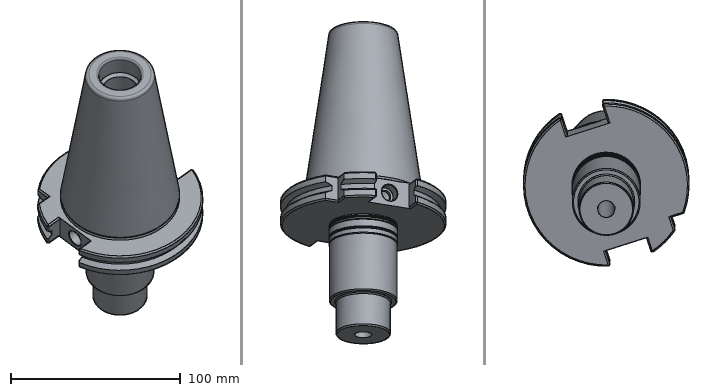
import cadquery as cq
import math


total_length = 189.6
taper_length = 101.8
bottom_z = taper_length - total_length

gauge_radius = 70.0 / 2
taper_slope = 7 / 48
taper_skirt = 0.8
taper_top_round = 2.0
skirt_groove_depth = 0.5

flange_radius = 48.7
flange_top_z = -3.2
flange_thickness = 16.0
flange_chamfer = 1.0
flange_bottom_z = flange_top_z - flange_thickness
flange_mid_z = flange_top_z - flange_thickness / 2

groove_floor_radius = 45.5
groove_floor_width = 3.0
groove_side_angle = 30.0

slot_width = 25.5
front_slot_distance = 37.2
rear_slot_distance = 35.0
notch_distance = 30.1

slot_hole_radius = 7.0 / 2
slot_hole_depth = 8.0
slot_counterbore_radius = 10.0 / 2
slot_counterbore_depth = 6.0
slot_counterbore_chamfer = 0.28

body_radius = 40.0 / 2
ring_radius = 40.5 / 2
ring_bevel_height = 0.5
ring_spans = ((-20.0, -21.2), (-22.2, -27.5), (-27.7, -31.5))
body_bottom_z = -67.1
body_chamfer = 0.8

nose_radius = 32.0 / 2
nose_root_chamfer = 0.8
nose_tip_width = 0.5
nose_tip_height = 1.0

bore_mouth_round = 1.1
bore_radius = 25.0 / 2
bore_depth = 12.0
thread_radius = 20.7 / 2
thread_depth = 47.0
through_radius = 10.0 / 2
drill_half_angle = 59.0


def cone_height(radius):
    """Height of a drill point of the given base radius."""
    return radius / math.tan(math.radians(drill_half_angle))


def revolve_profile(points):
    """Turn an (r, z) outline around the Z axis."""
    return cq.Workplane("XZ").polyline(points).close().revolve(360, (0, 0), (0, 1))


def make_taper():
    top_radius = gauge_radius - taper_slope * taper_length
    skirt_radius = gauge_radius + taper_slope * taper_skirt
    neck_z = (flange_top_z - taper_skirt) / 2
    taper = revolve_profile([
        (0, taper_length),
        (top_radius, taper_length),
        (skirt_radius, -taper_skirt),
        (skirt_radius - skirt_groove_depth, neck_z),
        (skirt_radius, flange_top_z),
        (0, flange_top_z),
    ])
    return taper.faces(">Z").edges().fillet(taper_top_round)


def make_flange():
    flange_base = cq.Workplane("XY").workplane(offset=flange_bottom_z)
    flange = flange_base.circle(flange_radius).extrude(flange_thickness)

    def cutter(x_min, x_max, y_min, y_max):
        """Box through the full flange thickness."""
        return (
            cq.Workplane("XY")
            .box(x_max - x_min, y_max - y_min, flange_thickness, centered=False)
            .translate((x_min, y_min, flange_bottom_z))
        )

    half_slot = slot_width / 2
    flange = flange.cut(cutter(-half_slot, half_slot, -flange_radius, -front_slot_distance))
    flange = flange.cut(cutter(-half_slot, half_slot, rear_slot_distance, flange_radius))
    flange = flange.cut(cutter(-flange_radius, -notch_distance, -flange_radius, -notch_distance))

    def is_chamfered(edge):
        """Rims, side walls and slot corners are chamfered; slot floors and notch corners are not."""
        middle = edge.Center()
        is_upright = abs(middle.z - flange_mid_z) < flange_chamfer
        if is_upright:
            at_rim = math.hypot(middle.x, middle.y) > groove_floor_radius
            beside_slot = abs(middle.x) < slot_width
            return at_rim and beside_slot
        on_slot_floor = abs(middle.x) < half_slot / 2
        return not on_slot_floor

    flange = flange.edges().filter(is_chamfered).chamfer(flange_chamfer)
    return flange.cut(make_v_groove())


def make_v_groove():
    clear_radius = flange_radius + 1.9
    half_floor = groove_floor_width / 2
    side_rise = (clear_radius - groove_floor_radius) * math.tan(math.radians(groove_side_angle))
    half_mouth = half_floor + side_rise
    return revolve_profile([
        (groove_floor_radius, flange_mid_z - half_floor),
        (clear_radius, flange_mid_z - half_mouth),
        (clear_radius, flange_mid_z + half_mouth),
        (groove_floor_radius, flange_mid_z + half_floor),
    ])


def make_body():
    ring_points = []
    for ring_top, ring_bottom in ring_spans:
        ring_points += [
            (body_radius, ring_top),
            (ring_radius, ring_top - ring_bevel_height),
            (ring_radius, ring_bottom + ring_bevel_height),
            (body_radius, ring_bottom),
        ]
    return revolve_profile([
        (0, flange_bottom_z),
        (body_radius, flange_bottom_z),
        *ring_points,
        (body_radius, body_bottom_z + body_chamfer),
        (body_radius - body_chamfer, body_bottom_z),
        (nose_radius + nose_root_chamfer, body_bottom_z),
        (nose_radius, body_bottom_z - nose_root_chamfer),
        (nose_radius, bottom_z + nose_tip_height),
        (nose_radius - nose_tip_width, bottom_z),
        (0, bottom_z),
    ])


def make_axial_bore():
    ledge_depth = bore_depth + cone_height(bore_radius) - cone_height(thread_radius)
    point_depth = thread_depth + cone_height(thread_radius) - cone_height(through_radius)
    return revolve_profile([
        (0, taper_length),
        (bore_radius, taper_length),
        (bore_radius, taper_length - bore_depth),
        (thread_radius, taper_length - ledge_depth),
        (thread_radius, taper_length - thread_depth),
        (through_radius, taper_length - point_depth),
        (through_radius, bottom_z),
        (0, bottom_z),
    ])


def make_slot_hole():
    hole = revolve_profile([
        (0, 0),
        (slot_counterbore_radius + slot_counterbore_chamfer, 0),
        (slot_counterbore_radius, -slot_counterbore_chamfer),
        (slot_counterbore_radius, -slot_counterbore_depth),
        (slot_hole_radius, -slot_counterbore_depth),
        (slot_hole_radius, -slot_hole_depth),
        (0, -slot_hole_depth - cone_height(slot_hole_radius)),
    ])
    return hole.rotate((0, 0, 0), (1, 0, 0), 90).translate((0, -front_slot_distance, flange_mid_z))


result = make_flange().union(make_taper()).union(make_body())
result = result.cut(make_axial_bore()).cut(make_slot_hole())

bore_mouth = result.faces(">Z").edges(cq.selectors.RadiusNthSelector(0))
result = bore_mouth.fillet(bore_mouth_round)